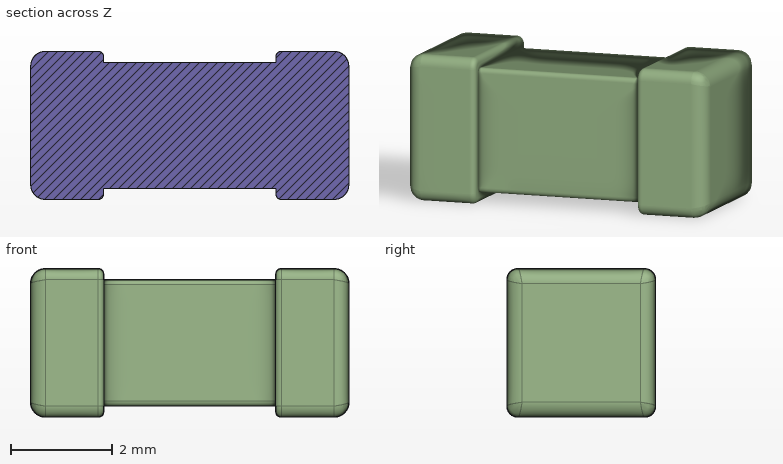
import cadquery as cq

length = 6.3
cap_side = 2.94

cap_length = 1.45
cap_corner_radius = 0.22
cap_outer_radius = 0.3
cap_inner_radius = 0.11

body_side = 2.5
body_corner_radius = 0.1


def make_body():
    """Square bar with rounded long edges, reaching to the middle of each cap."""
    body_length = length - cap_length
    return cq.Workplane("XY").box(body_length, body_side, body_side).edges("|X").fillet(body_corner_radius)


def make_left_cap():
    """Cap at the -X end, with its outer rim rounded more than its inner rim."""
    cap_center_x = (cap_length - length) / 2
    cap = cq.Workplane("XY").box(cap_length, cap_side, cap_side)
    cap = cap.edges("|X").fillet(cap_corner_radius)
    cap = cap.faces("<X").edges().fillet(cap_outer_radius)
    cap = cap.faces(">X").edges().fillet(cap_inner_radius)
    return cap.translate((cap_center_x, 0, 0))


left_cap = make_left_cap()
right_cap = left_cap.mirror("YZ")
result = make_body().union(left_cap).union(right_cap)